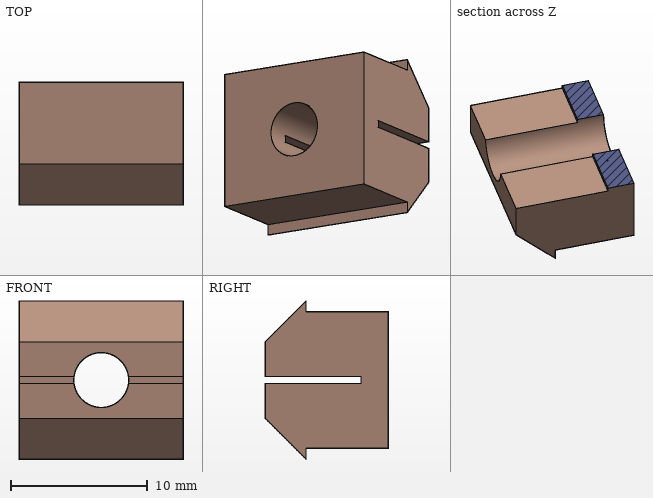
import cadquery as cq

length = 12.0
body_depth = 6.0
body_height = 10.0
wedge_depth = 3.0
lip_overhang = 0.8
slot_depth = 7.0
slot_width = 0.5
hole_diameter = 4.0

total_depth = body_depth + wedge_depth
shoulder_half_height = body_height / 2 + lip_overhang
front_half_height = shoulder_half_height - wedge_depth


def make_body():
    """Extrude the symmetric side profile along X; the front face lies at Y = 0."""
    half_profile = [
        (0, front_half_height),
        (wedge_depth, shoulder_half_height),
        (wedge_depth, body_height / 2),
        (total_depth, body_height / 2),
    ]
    mirrored_half = [(y, -z) for y, z in reversed(half_profile)]
    return (
        cq.Workplane("YZ")
        .polyline(half_profile + mirrored_half)
        .close()
        .extrude(length / 2, both=True)
    )


def make_slot():
    """Clamping slot, full length in X and open at the front face."""
    return cq.Workplane("XY").box(length, slot_depth, slot_width, centered=(True, False, True))


def make_hole():
    """Central through hole along Y."""
    return cq.Workplane("XZ").circle(hole_diameter / 2).extrude(-total_depth)


result = make_body().cut(make_slot()).cut(make_hole())